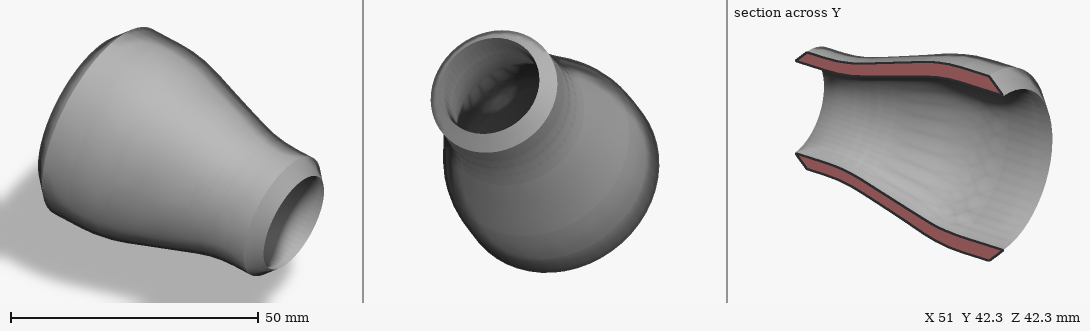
import cadquery as cq
import math

length = 51.0
large_outer_radius = 21.15
large_bore_radius = 17.6
small_outer_radius = 13.4
small_bore_radius = 10.5
straight_end = 10.25
outer_bend_span = 33.5
outer_bend_length = 9.3
bore_bend_inset = 0.4
bore_bend_length = 8.45

large_bevel = large_outer_radius - large_bore_radius
small_bevel = small_outer_radius - small_bore_radius

solver_steps = 20


def bend_points(large_radius, small_radius, start, finish, bend_length):
    """Start, middle and end of both tangent arcs, ordered from the large end."""
    drop = large_radius - small_radius
    span = finish - start
    cone_length = span - 2 * bend_length
    half_tangent = drop / (2 * span)
    for _ in range(solver_steps):
        half_tangent = drop / (2 * bend_length + 2 * cone_length / (1 - half_tangent**2))
    angle = 2 * math.atan(half_tangent)
    bend_radius = bend_length / math.sin(angle)

    def arc_offset(turn):
        return bend_radius * math.sin(turn), bend_radius * (1 - math.cos(turn))

    offsets = [arc_offset(turn) for turn in (0, angle / 2, angle)]
    large_bend = [(start + dx, large_radius - dr) for dx, dr in offsets]
    small_bend = [(finish - dx, small_radius + dr) for dx, dr in reversed(offsets)]
    return large_bend, small_bend


bend_finish = straight_end + outer_bend_span
outer_large, outer_small = bend_points(
    large_outer_radius, small_outer_radius, straight_end, bend_finish, outer_bend_length
)
inner_large, inner_small = bend_points(
    large_bore_radius,
    small_bore_radius,
    straight_end + bore_bend_inset,
    bend_finish - bore_bend_inset,
    bore_bend_length,
)

section = (
    cq.Workplane("XZ")
    .moveTo(0, large_bore_radius)
    .lineTo(large_bevel, large_outer_radius)
    .lineTo(*outer_large[0])
    .threePointArc(*outer_large[1:])
    .lineTo(*outer_small[0])
    .threePointArc(*outer_small[1:])
    .lineTo(length - small_bevel, small_outer_radius)
    .lineTo(length, small_bore_radius)
    .lineTo(*inner_small[2])
    .threePointArc(inner_small[1], inner_small[0])
    .lineTo(*inner_large[2])
    .threePointArc(inner_large[1], inner_large[0])
    .close()
)

result = section.revolve(360, (0, 0, 0), (1, 0, 0))